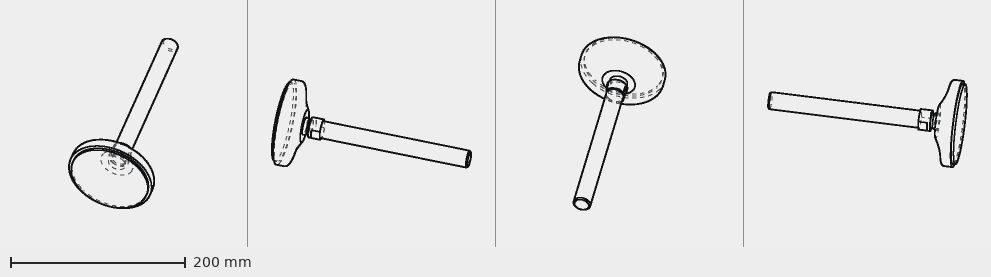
import cadquery as cq
import math

total_length = 222.0

plate_radius = 100.0 / 2
pad_radius = 92.5 / 2
pad_height = 2.9
rim_top = 12.2
rim_rounding = 3.3
plate_top = 26.5
plate_top_radius = 38.6 / 2
rim_slope = math.radians(10)

ball_radius = 10.5
neck_radius = 17.0 / 2
ball_end = 30.9
ball_center = ball_end - math.sqrt(ball_radius**2 - neck_radius**2)

collar_radius = 24.0 / 2
collar_start = 33.5
collar_end = 47.0
flats_start = 36.9
flats_width = 20.0

stud_radius = 20.0 / 2
stud_chamfer = 1.5


def rounding_point(angle):
    """Point on the rim rounding, with the angle measured from the axis direction."""
    return (
        plate_radius - rim_rounding + rim_rounding * math.sin(angle),
        rim_top + rim_rounding * math.cos(angle),
    )


def ball_point(height):
    return (math.sqrt(ball_radius**2 - (height - ball_center) ** 2), height)


def make_turned_body():
    profile = (
        cq.Workplane("XY")
        .lineTo(pad_radius, 0)
        .lineTo(pad_radius, pad_height)
        .lineTo(plate_radius, pad_height)
        .lineTo(plate_radius, rim_top)
        .threePointArc(rounding_point((rim_slope + math.pi / 2) / 2), rounding_point(rim_slope))
        .tangentArcPoint((plate_top_radius, plate_top), relative=False)
        .lineTo(*ball_point(plate_top))
        .threePointArc(ball_point((plate_top + ball_end) / 2), (neck_radius, ball_end))
        .lineTo(neck_radius, collar_start)
        .lineTo(collar_radius, collar_start)
        .lineTo(collar_radius, collar_end)
        .lineTo(stud_radius, collar_end)
        .lineTo(stud_radius, total_length - stud_chamfer)
        .lineTo(stud_radius - stud_chamfer, total_length)
        .lineTo(0, total_length)
        .close()
    )
    return profile.revolve(360, (0, 0, 0), (0, 1, 0))


def make_flat_cutter(side):
    """Block that trims one wrench flat; side is -1 or +1 along X."""
    return cq.Workplane("XY").box(
        collar_radius, collar_end - flats_start, 2 * collar_radius
    ).translate((side * (flats_width + collar_radius) / 2, (flats_start + collar_end) / 2, 0))


result = make_turned_body()
for side in (-1, 1):
    result = result.cut(make_flat_cutter(side))